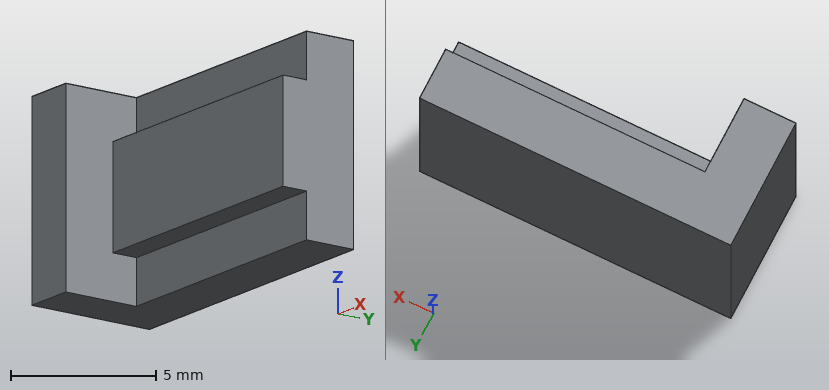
import cadquery as cq

length = 12.0
depth = 5.0
height = 7.5

wall = 2.0

rail_height = 4.0
rail_projection = 1.0


def corner_box(x_size, y_size, z_size):
    """Box reaching from the origin in +X and -Y, centred on Z."""
    box = cq.Workplane("XY").box(x_size, y_size, z_size, centered=(False, False, True))
    return box.translate((0, -y_size, 0))


back_plate = corner_box(length, wall, height)
end_wall = corner_box(wall, depth, height)
rail = corner_box(length, wall + rail_projection, rail_height)

body = back_plate.union(end_wall).union(rail)

result = body.translate((-length / 2, depth / 2, 0))